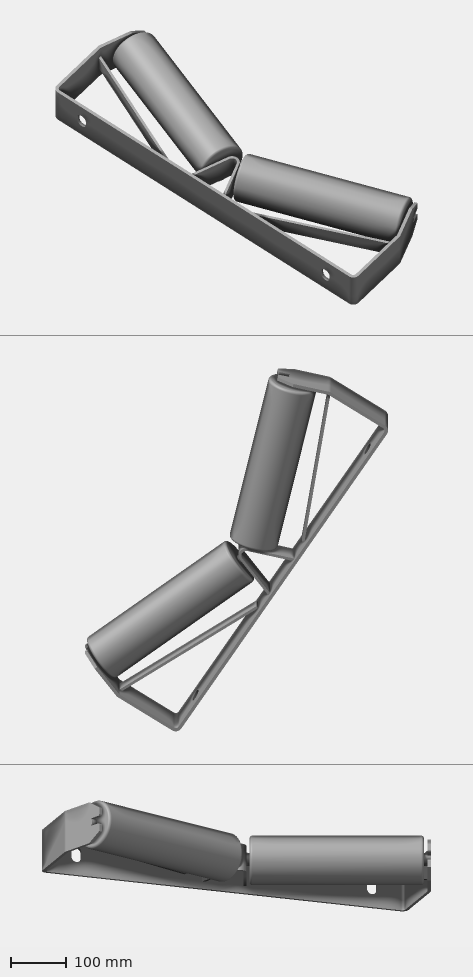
import cadquery as cq
import math

TILT = 20.0
SIN = math.sin(math.radians(TILT))
COS = math.cos(math.radians(TILT))

FRAME_LENGTH = 700.0
PLATE_THICKNESS = 6.0
PLATE_HEIGHT = 77.0
BEND_RADIUS = 2 * PLATE_THICKNESS
WALL_TOP_Y = 130.0
FLANGE_LENGTH = 96.0
TIP_CUT_LENGTH = 29.0
TIP_CUT_HEIGHT = 16.0
SLOT_MOUTH_RADIUS = 3.5
MOUNT_HOLE_SPACING = 565.5
MOUNT_HOLE_WIDTH = 19.5
MOUNT_HOLE_LENGTH = 28.0

BRACKET_TOP_Y = 95.0
BRACKET_HEIGHT = 50.0
BRACKET_THICKNESS = 5.0
BRACKET_RADIUS = 14.0

BRACE_THICKNESS = 5.0
BRACE_HEIGHT = 30.0
BRACE_ANGLE = 23.8
BRACE_FOOT_X = 76.0

ROLLER_DIAMETER = 89.0
ROLLER_LENGTH = 313.5
ROLLER_EDGE_RADIUS = 5.0
ROLLER_CENTER_X = 169.0
ROLLER_CENTER_Y = 134.0
SHAFT_DIAMETER = 20.0
SHAFT_FLAT_WIDTH = 14.0

half_length = FRAME_LENGTH / 2
bend_miter = PLATE_THICKNESS * math.tan(math.radians(TILT / 2))

wall_reach = (half_length - ROLLER_CENTER_X) * COS + (WALL_TOP_Y - ROLLER_CENTER_Y) * SIN
bracket_bend_y = BRACKET_TOP_Y - BRACKET_RADIUS
bracket_reach = (ROLLER_CENTER_X * COS + (ROLLER_CENTER_Y - bracket_bend_y) * SIN
                 - BRACKET_RADIUS + BRACKET_THICKNESS)


def place_on_roller(shape):
    """Move a shape from the X axis onto the tilted axis of the right-hand roller."""
    return shape.rotate((0, 0, 0), (0, 0, 1), TILT).translate((ROLLER_CENTER_X, ROLLER_CENTER_Y, 0))


def mirrored_pair(shape):
    """The right-hand shape and its left-hand copy."""
    return [shape, shape.mirror("YZ")]


def extrude_plate(outline, height):
    """Close an outline and extrude it evenly to both sides of Z = 0."""
    return outline.close().extrude(height).translate((0, 0, -height / 2))


def make_rod(diameter, start_x, end_x):
    """Cylinder on the X axis between two positions."""
    return cq.Workplane("YZ", origin=(start_x, 0, 0)).circle(diameter / 2).extrude(end_x - start_x)


def make_shaft():
    """Round shaft between the plates, with flatted ends that reach flush through both plates."""
    flatted_ends = (
        make_rod(SHAFT_DIAMETER, -bracket_reach, wall_reach)
        .intersect(cq.Workplane("XY").box(FRAME_LENGTH, SHAFT_DIAMETER, SHAFT_FLAT_WIDTH))
    )
    round_part = make_rod(SHAFT_DIAMETER, BRACKET_THICKNESS - bracket_reach, wall_reach - PLATE_THICKNESS)
    return flatted_ends.union(round_part)


def make_roller():
    """Drum with rounded rims, in one piece with its shaft."""
    drum = make_rod(ROLLER_DIAMETER, -ROLLER_LENGTH / 2, ROLLER_LENGTH / 2)
    drum = drum.edges("%CIRCLE").fillet(ROLLER_EDGE_RADIUS)
    return place_on_roller(drum.union(make_shaft()))


def flange_cutter():
    """Open shaft slot and sloped tip corners, cut through the flange along the roller axis."""
    tip_y = (WALL_TOP_Y - ROLLER_CENTER_Y) * COS - (half_length - ROLLER_CENTER_X) * SIN + FLANGE_LENGTH
    depth = 3 * PLATE_THICKNESS
    near_x = wall_reach - 2 * PLATE_THICKNESS
    slot_half = SHAFT_FLAT_WIDTH / 2
    seat_y = -math.sqrt((SHAFT_DIAMETER / 2) ** 2 - slot_half ** 2)
    mouth_half = slot_half + SLOT_MOUTH_RADIUS
    mouth_mid = SLOT_MOUTH_RADIUS * (1 - math.sqrt(0.5))
    plane = cq.Workplane("YZ", origin=(near_x, 0, 0))
    slot = (
        plane.moveTo(seat_y, slot_half)
        .lineTo(tip_y - SLOT_MOUTH_RADIUS, slot_half)
        .threePointArc((tip_y - mouth_mid, slot_half + mouth_mid), (tip_y, mouth_half))
        .lineTo(tip_y, -mouth_half)
        .threePointArc((tip_y - mouth_mid, -slot_half - mouth_mid), (tip_y - SLOT_MOUTH_RADIUS, -slot_half))
        .lineTo(seat_y, -slot_half)
        .threePointArc((-SHAFT_DIAMETER / 2, 0), (seat_y, slot_half))
        .close().extrude(depth)
    )
    tip_corner = (
        plane.moveTo(tip_y, PLATE_HEIGHT / 2)
        .lineTo(tip_y - TIP_CUT_LENGTH, PLATE_HEIGHT / 2)
        .lineTo(tip_y, PLATE_HEIGHT / 2 - TIP_CUT_HEIGHT)
        .close().extrude(depth)
    )
    return place_on_roller(slot.union(tip_corner).union(tip_corner.mirror("XY")))


def make_frame():
    """Bent strip: long base, two end walls and two flanges leaning inward to carry the shafts."""
    outer_bend = (half_length, WALL_TOP_Y)
    outer_tip = (half_length - FLANGE_LENGTH * SIN, WALL_TOP_Y + FLANGE_LENGTH * COS)
    inner_tip = (outer_tip[0] - PLATE_THICKNESS * COS, outer_tip[1] - PLATE_THICKNESS * SIN)
    inner_bend = (half_length - PLATE_THICKNESS, WALL_TOP_Y - bend_miter)
    outer_corner = (half_length, 0)
    inner_corner = (half_length - PLATE_THICKNESS, PLATE_THICKNESS)
    right_side = [outer_corner, outer_bend, outer_tip, inner_tip, inner_bend, inner_corner]
    left_side = [(-x, y) for x, y in reversed(right_side)]
    frame = extrude_plate(cq.Workplane("XY").polyline(right_side + left_side), PLATE_HEIGHT)

    bends = [(outer_corner, BEND_RADIUS), (outer_bend, BEND_RADIUS),
             (inner_corner, BEND_RADIUS - PLATE_THICKNESS), (inner_bend, BEND_RADIUS - PLATE_THICKNESS)]
    for (x, y), radius in bends:
        for side in (1, -1):
            frame = frame.edges(cq.NearestToPointSelector((side * x, y, 0))).fillet(radius)

    mount_holes = (
        cq.Workplane("XZ").pushPoints([(-MOUNT_HOLE_SPACING / 2, 0), (MOUNT_HOLE_SPACING / 2, 0)])
        .slot2D(MOUNT_HOLE_LENGTH, MOUNT_HOLE_WIDTH, 90).extrude(-PLATE_THICKNESS)
    )
    frame = frame.cut(mount_holes)
    for cutter in mirrored_pair(flange_cutter()):
        frame = frame.cut(cutter)
    return frame


def bracket_profile(radius):
    """Solid wedge under a round top, with both legs running down to the frame's base."""
    tangent_x = radius * COS
    tangent_y = bracket_bend_y + radius * SIN
    foot_x = tangent_x + (tangent_y - PLATE_THICKNESS) * SIN / COS
    outline = (
        cq.Workplane("XY").moveTo(-foot_x, PLATE_THICKNESS)
        .lineTo(-tangent_x, tangent_y)
        .threePointArc((0, bracket_bend_y + radius), (tangent_x, tangent_y))
        .lineTo(foot_x, PLATE_THICKNESS)
    )
    return extrude_plate(outline, BRACKET_HEIGHT)


def make_bracket():
    """Inverted V with holes that fit the inner shaft ends of both rollers."""
    bracket = bracket_profile(BRACKET_RADIUS).cut(bracket_profile(BRACKET_RADIUS - BRACKET_THICKNESS))
    for shaft in mirrored_pair(place_on_roller(make_shaft())):
        bracket = bracket.cut(shaft)
    return bracket


def make_brace(frame):
    """Flat bar from the base to the end wall, square at the foot and trimmed to the wall and its bend."""
    slope = math.radians(BRACE_ANGLE)
    wall_x = half_length - PLATE_THICKNESS
    rise = (wall_x - BRACE_FOOT_X) * math.tan(slope)
    top_foot = (BRACE_FOOT_X - BRACE_THICKNESS * math.sin(slope),
                PLATE_THICKNESS + BRACE_THICKNESS * math.cos(slope))
    wall_low = (wall_x, PLATE_THICKNESS + rise)
    wall_high = (wall_x, wall_low[1] + BRACE_THICKNESS / math.cos(slope))
    outline = cq.Workplane("XY").polyline([(BRACE_FOOT_X, PLATE_THICKNESS), wall_low, wall_high, top_foot])
    return extrude_plate(outline, BRACE_HEIGHT).cut(frame)


frame = make_frame()
bracket = make_bracket()
braces = mirrored_pair(make_brace(frame))
rollers = mirrored_pair(make_roller())

result = cq.Compound.makeCompound(
    [frame.val(), bracket.val()]
    + [brace.val() for brace in braces]
    + [roller.val() for roller in rollers]
)